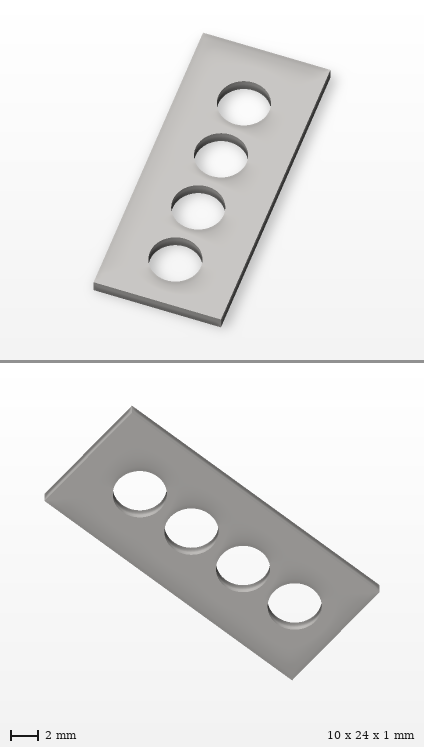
import cadquery as cq

plate_width = 10.0
plate_length = 24.0
plate_thickness = 1.0

hole_count = 4
hole_diameter = 4.0
hole_pitch = plate_width / 2

first_hole_y = plate_length / 2 - hole_pitch
hole_centers = [(0, first_hole_y - i * hole_pitch) for i in range(hole_count)]

plate = cq.Workplane("XY").box(plate_width, plate_length, plate_thickness)

result = (
    plate.faces(">Z")
    .workplane()
    .pushPoints(hole_centers)
    .hole(hole_diameter)
)